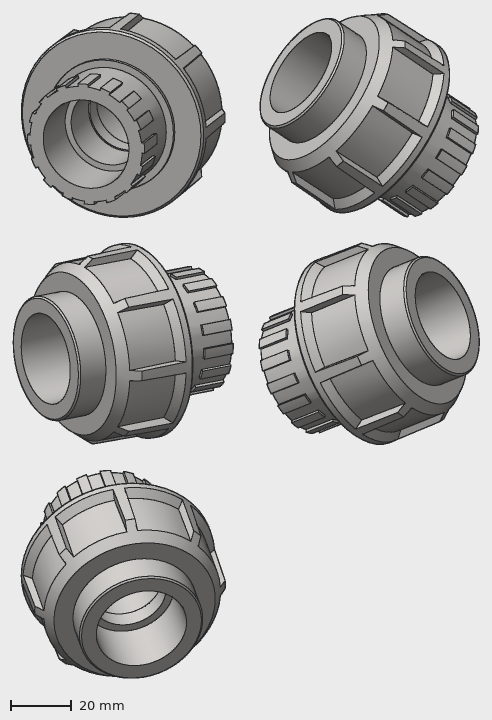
import cadquery as cq
import math


length = 60.0
front_y = -length / 2
rear_y = length / 2

nut_front_y = -7.5
nut_rear_y = 19.6
nut_front_radius = 32.5
nut_chamfer = 0.7
shoulder_y = 12.7
shoulder_radius = 32.2
nut_rear_radius = 27.3
lip_thickness = 5.2

rib_count = 8
pocket_floor_radius = 29.9
pocket_front_y = -4.4
rib_front_tip_width = 3.9
rib_front_root_width = 4.15
rib_rear_tip_width = 3.05
rib_rear_root_width = 3.5
clearance = 1.3

collar_radius = 22.5
collar_front_y = -8.7
neck_radius = 19.95
tailpiece_radius = 20.85
tailpiece_chamfer = 0.6
socket_radius = 15.3
socket_depth = 19.3
body_bore_radius = 13.1
tailpiece_bore_radius = 12.7
joint_y = 4.55

tooth_count = 16
tooth_length = 11.05
tooth_tip_radius = tailpiece_radius
tooth_start_angle = 88.2
tooth_span_angle = 9.9

flange_rear_y = nut_rear_y - lip_thickness


def turned(points):
    """Solid turned about the Y axis from (radius, y) points."""
    return cq.Workplane("XY").polyline(points).close().revolve(360, (0, 0, 0), (0, 1, 0))


def rib(angle):
    """Tapered rib standing along the nut, at an angle about the Y axis."""
    root = pocket_floor_radius - clearance
    tip = nut_front_radius + clearance
    tip_step = clearance / (nut_front_radius - pocket_floor_radius)

    def section(root_width, tip_width):
        flare = (root_width - tip_width) * tip_step
        root_half = (root_width + flare) / 2
        tip_half = (tip_width - flare) / 2
        return [(-root_half, root), (root_half, root), (tip_half, tip), (-tip_half, tip)]

    return (
        cq.Workplane("XZ", origin=(0, pocket_front_y, 0))
        .polyline(section(rib_front_root_width, rib_front_tip_width)).close()
        .workplane(offset=pocket_front_y - nut_rear_y)
        .polyline(section(rib_rear_root_width, rib_rear_tip_width)).close()
        .loft(ruled=True)
        .rotate((0, 0, 0), (0, 1, 0), angle)
    )


def make_nut():
    nut = turned([
        (collar_radius, nut_front_y),
        (nut_front_radius - nut_chamfer, nut_front_y),
        (nut_front_radius, nut_front_y + nut_chamfer),
        (shoulder_radius, shoulder_y),
        (nut_rear_radius, nut_rear_y),
        (tailpiece_radius, nut_rear_y),
        (tailpiece_radius, flange_rear_y),
        (collar_radius, flange_rear_y),
    ])

    tool_radius = nut_front_radius + clearance
    pockets = turned([
        (pocket_floor_radius, pocket_front_y + nut_front_radius - pocket_floor_radius),
        (tool_radius, pocket_front_y - clearance),
        (tool_radius, nut_rear_y),
        (pocket_floor_radius, nut_rear_y),
    ])
    for index in range(rib_count):
        pockets = pockets.cut(rib(index * 360 / rib_count))
    return nut.cut(pockets)


def tooth(start_angle):
    """Straight tooth along Y with radial sides and an arc at the tip."""
    def polar(radius, angle):
        return (radius * math.cos(math.radians(angle)), radius * math.sin(math.radians(angle)))

    end_angle = start_angle + tooth_span_angle
    middle_angle = start_angle + tooth_span_angle / 2
    root = neck_radius - clearance
    return (
        cq.Workplane("XZ", origin=(0, front_y, 0))
        .moveTo(*polar(root, start_angle))
        .lineTo(*polar(tooth_tip_radius, start_angle))
        .threePointArc(polar(tooth_tip_radius, middle_angle), polar(tooth_tip_radius, end_angle))
        .lineTo(*polar(root, end_angle))
        .close()
        .extrude(-tooth_length)
    )


def make_toothed_body():
    body = turned([
        (socket_radius, front_y),
        (neck_radius, front_y),
        (neck_radius, collar_front_y),
        (collar_radius, collar_front_y),
        (collar_radius, joint_y),
        (body_bore_radius, joint_y),
        (body_bore_radius, front_y + socket_depth),
        (socket_radius, front_y + socket_depth),
    ])
    for index in range(tooth_count):
        body = body.union(tooth(tooth_start_angle + index * 360 / tooth_count))
    return body


def make_tailpiece():
    return turned([
        (tailpiece_bore_radius, joint_y),
        (collar_radius, joint_y),
        (collar_radius, flange_rear_y),
        (tailpiece_radius, flange_rear_y),
        (tailpiece_radius, rear_y - tailpiece_chamfer),
        (tailpiece_radius - tailpiece_chamfer, rear_y),
        (socket_radius, rear_y),
        (socket_radius, rear_y - socket_depth),
        (tailpiece_bore_radius, rear_y - socket_depth),
    ])


nut = make_nut()
toothed_body = make_toothed_body()
tailpiece = make_tailpiece()

result = cq.Compound.makeCompound([nut.val(), toothed_body.val(), tailpiece.val()])